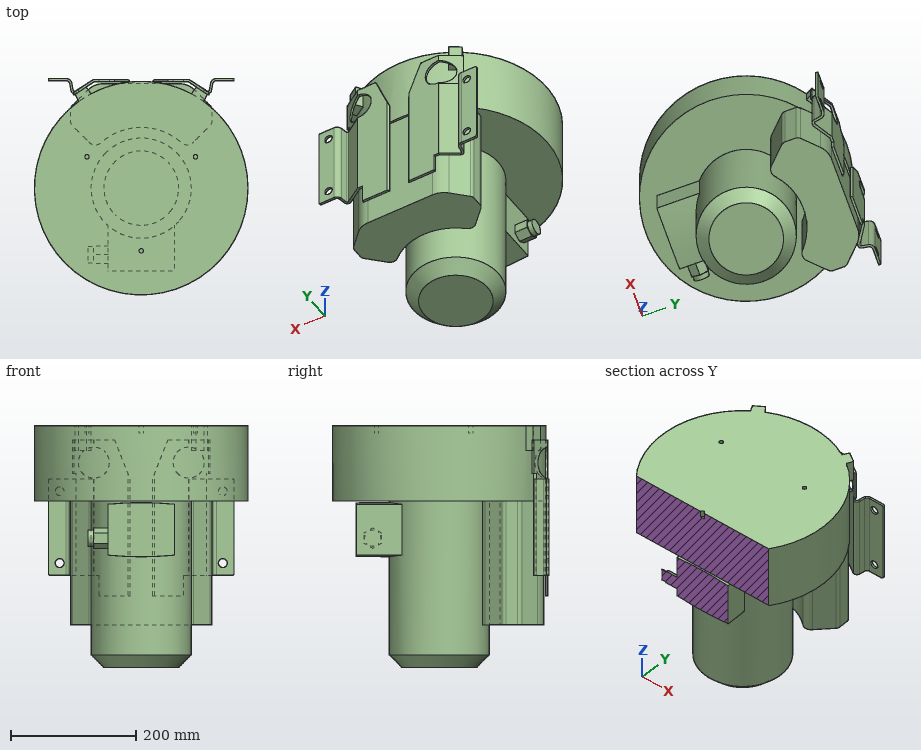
import cadquery as cq
import math


TOTAL_HEIGHT = 386.0
OVERALL_DEPTH = 345.5
DRUM_DIAMETER = 341.0
DRUM_RADIUS = DRUM_DIAMETER / 2
DRUM_HEIGHT = 120.5
DRUM_BOTTOM = TOTAL_HEIGHT - DRUM_HEIGHT
MOTOR_RADIUS = 80.0
MOTOR_CHAMFER = 20.5

TOP_HOLE_DIAMETER = 7.0
TOP_HOLE_CIRCLE_RADIUS = 100.0
TOP_HOLE_DEPTH = 11.5
TOP_HOLE_COUNT = 3
TOP_HOLE_START_ANGLE = 30

BOX_WIDTH = 106.5
BOX_FRONT_Y = -132.5
BOX_BACK_Y = -58.5
BOX_CENTER_Z = 220.0
BOX_SIDE_HEIGHT = 81.0
BOX_BULGE = 2.7
GLAND_Y = -106.0
GLAND_Z = 206.5
GLAND_FLATS = 28.0
GLAND_HEX_LENGTH = 23.0
GLAND_END_DIAMETER = 26.0
GLAND_END_LENGTH = 8.5

SILENCER_BOTTOM = 68.5
SILENCER_HALF_WIDTH = 112.7
SILENCER_BACK_Y = 166.8
SILENCER_SIDE_LOW_Y = 102.5
SILENCER_SIDE_HIGH_Y = 129.0
SILENCER_BORE_RADIUS = 97.0
LOBE_OUTER_X = 83.5
LOBE_RADIUS = 13.5
SILENCER_SIDE_FILLET = 9.5
SILENCER_BACK_FILLET = 34.7

SHEET = 4.0
PLATE_BACK_Y = 173.5
PLATE_Y = PLATE_BACK_Y - SHEET / 2
PLATE_INNER_X = 17.8
PLATE_INNER_CHAMFER = 3.0
PLATE_FOOT_X = 67.5
PLATE_BEND = (75.5, PLATE_Y)
PLATE_BOTTOM = 114.5
PLATE_TOP = 363.0
PLATE_CORNER_WIDTH = 24.7
PLATE_CORNER_HEIGHT = 61.8
WING_END = (108.5, 149.8)
TAB_BOTTOM = 310.0
RELIEF_X = 104.0
FLANGE_OUTER_X = 148.2
FLANGE_Y = OVERALL_DEPTH - DRUM_RADIUS - SHEET / 2
FLANGE_BEND_X = 113.5
LEG_END = (109.2, 150.0)
FLANGE_BOTTOM = 147.0
FLANGE_TOP = 301.0
FLANGE_MIDDLE_Z = (FLANGE_BOTTOM + FLANGE_TOP) / 2
FLANGE_BEND_RADIUS = 9.5
FOLD_RADIUS = 5.8
FLANGE_CORNER_RADIUS = 3.0
FLANGE_HOLE_DIAMETER = 14.0
FLANGE_HOLE_X = 130.0
FLANGE_HOLE_EDGE = 19.5
PORT_DIAMETER = 49.5
PORT_Z = 327.0

EAR_BOTTOM = 346.5
EAR_INNER_X = 87.5
EAR_OUTER_X = 105.5
EAR_INNER_ROOT = (80.0, 150.0)
EAR_OUTER_ROOT = (99.5, 137.8)


def mirrored(body):
    """The body together with its copy across the YZ plane."""
    return body.union(body.mirror("YZ"))


def prism(points, bottom, top):
    """Vertical prism over a polygon in X and Y."""
    return cq.Workplane("XY").workplane(offset=bottom).polyline(points).close().extrude(top - bottom)


def through_y(points):
    """Prism over a polygon in X and Z, long enough in Y to span a bracket."""
    return cq.Workplane("XZ").polyline(points).close().extrude(-2 * DRUM_RADIUS)


def bar_along_y(x, z, diameter):
    """Round cutter along Y that passes through a bracket."""
    return cq.Workplane("XZ").center(x, z).circle(diameter / 2).extrude(-2 * DRUM_RADIUS)


def strip_side(path, shift):
    """Mitred offset of an open path, to its left for a positive shift."""
    headings = [math.atan2(b[1] - a[1], b[0] - a[0]) for a, b in zip(path, path[1:])]
    before = headings[:1] + headings
    after = headings + headings[-1:]
    side = []
    for (x, y), first, second in zip(path, before, after):
        reach = shift / math.cos((second - first) / 2)
        normal = (first + second) / 2 + math.pi / 2
        side.append((x + reach * math.cos(normal), y + reach * math.sin(normal)))
    return side


def drum():
    body = cq.Workplane("XY").workplane(offset=DRUM_BOTTOM).circle(DRUM_RADIUS).extrude(DRUM_HEIGHT)
    return (
        body.faces(">Z").workplane(origin=(0, 0, TOTAL_HEIGHT))
        .polarArray(TOP_HOLE_CIRCLE_RADIUS, TOP_HOLE_START_ANGLE, 360, TOP_HOLE_COUNT)
        .hole(TOP_HOLE_DIAMETER, TOP_HOLE_DEPTH)
    )


def motor():
    body = cq.Workplane("XY").circle(MOTOR_RADIUS).extrude(DRUM_BOTTOM)
    return body.faces("<Z").chamfer(MOTOR_CHAMFER)


def terminal_box():
    """Box with slightly crowned top and bottom, set into the motor."""
    half_width = BOX_WIDTH / 2
    top = BOX_CENTER_Z + BOX_SIDE_HEIGHT / 2
    bottom = BOX_CENTER_Z - BOX_SIDE_HEIGHT / 2
    return (
        cq.Workplane("XZ", origin=(0, BOX_BACK_Y, 0))
        .moveTo(-half_width, bottom)
        .threePointArc((0, bottom - BOX_BULGE), (half_width, bottom))
        .lineTo(half_width, top)
        .threePointArc((0, top + BOX_BULGE), (-half_width, top))
        .close()
        .extrude(BOX_BACK_Y - BOX_FRONT_Y)
    )


def cable_gland():
    hexagon_diameter = GLAND_FLATS / math.cos(math.pi / 6)
    start = cq.Workplane("YZ", origin=(-BOX_WIDTH / 2, GLAND_Y, GLAND_Z))
    nut = start.transformed(rotate=(0, 0, 90)).polygon(6, hexagon_diameter).extrude(-GLAND_HEX_LENGTH)
    end = start.circle(GLAND_END_DIAMETER / 2).extrude(-GLAND_HEX_LENGTH - GLAND_END_LENGTH)
    return nut.union(end)


def silencer():
    """Body with 45 degree corners, two rounded front lobes and a hollow around the motor."""
    lobe_y = SILENCER_SIDE_LOW_Y - (SILENCER_HALF_WIDTH - LOBE_OUTER_X)
    lobe_inner_x = math.sqrt(SILENCER_BORE_RADIUS ** 2 - lobe_y ** 2)
    lobe_middle_x = (LOBE_OUTER_X + lobe_inner_x) / 2
    half_chord = (LOBE_OUTER_X - lobe_inner_x) / 2
    lobe_tip_y = lobe_y - LOBE_RADIUS + math.sqrt(LOBE_RADIUS ** 2 - half_chord ** 2)
    back_corner_x = SILENCER_HALF_WIDTH - (SILENCER_BACK_Y - SILENCER_SIDE_HIGH_Y)
    body = (
        cq.Workplane("XY").workplane(offset=SILENCER_BOTTOM)
        .moveTo(-lobe_inner_x, lobe_y)
        .threePointArc((0, SILENCER_BORE_RADIUS), (lobe_inner_x, lobe_y))
        .threePointArc((lobe_middle_x, lobe_tip_y), (LOBE_OUTER_X, lobe_y))
        .lineTo(SILENCER_HALF_WIDTH, SILENCER_SIDE_LOW_Y)
        .lineTo(SILENCER_HALF_WIDTH, SILENCER_SIDE_HIGH_Y)
        .lineTo(back_corner_x, SILENCER_BACK_Y)
        .lineTo(-back_corner_x, SILENCER_BACK_Y)
        .lineTo(-SILENCER_HALF_WIDTH, SILENCER_SIDE_HIGH_Y)
        .lineTo(-SILENCER_HALF_WIDTH, SILENCER_SIDE_LOW_Y)
        .lineTo(-LOBE_OUTER_X, lobe_y)
        .threePointArc((-lobe_middle_x, lobe_tip_y), (-lobe_inner_x, lobe_y))
        .close()
        .extrude(DRUM_BOTTOM - SILENCER_BOTTOM)
    )
    body = body.edges("|Z and >Y").fillet(SILENCER_BACK_FILLET)
    for side in ("<X", ">X"):
        body = body.faces(side).edges("|Z").fillet(SILENCER_SIDE_FILLET)
    return body


def bent_sheet(path, bottom, top):
    """Upright sheet whose middle line is an open path in X and Y."""
    outline = strip_side(path, SHEET / 2) + strip_side(path, -SHEET / 2)[::-1]
    return prism(outline, bottom, top)


def round_bend(sheet, path, index, outer_radius):
    """Round both faces of a bent sheet at one corner of its path."""
    corners = [strip_side(path, shift)[index] for shift in (SHEET / 2, -SHEET / 2)]
    previous_point, next_point = path[index - 1], path[index + 1]
    corners.sort(key=lambda corner: math.dist(corner, previous_point) + math.dist(corner, next_point))
    for (x, y), radius in zip(corners, (outer_radius - SHEET, outer_radius)):
        sheet = sheet.edges(cq.selectors.NearestToPointSelector((x, y, FLANGE_MIDDLE_Z))).fillet(radius)
    return sheet


def bracket_plate():
    """Flat plate with an angled wing, trimmed to its outline and pierced by the port."""
    path = [(PLATE_INNER_X, PLATE_Y), PLATE_BEND, WING_END]
    trim = through_y([
        (0, PLATE_BOTTOM),
        (PLATE_FOOT_X, PLATE_BOTTOM),
        (PLATE_FOOT_X, FLANGE_BOTTOM),
        (RELIEF_X, FLANGE_BOTTOM),
        (RELIEF_X, TAB_BOTTOM),
        (FLANGE_OUTER_X, TAB_BOTTOM),
        (FLANGE_OUTER_X, PLATE_TOP),
        (PLATE_INNER_X + PLATE_CORNER_WIDTH, PLATE_TOP),
        (PLATE_INNER_X, PLATE_TOP - PLATE_CORNER_HEIGHT),
        (0, PLATE_TOP - PLATE_CORNER_HEIGHT),
    ])
    port = bar_along_y(PLATE_BEND[0], PORT_Z, PORT_DIAMETER)
    sheet = bent_sheet(path, PLATE_BOTTOM, PLATE_TOP)
    sheet = sheet.faces("<X").edges(">Y").chamfer(PLATE_INNER_CHAMFER)
    return sheet.intersect(trim).cut(port)


def bracket_flange():
    """Mounting flange with two holes, folded back to meet the wing of the plate."""
    path = [(FLANGE_OUTER_X, FLANGE_Y), (FLANGE_BEND_X, FLANGE_Y), LEG_END, PLATE_BEND]
    flange = bent_sheet(path, FLANGE_BOTTOM, FLANGE_TOP)
    flange = round_bend(flange, path, 1, FLANGE_BEND_RADIUS)
    flange = round_bend(flange, path, 2, FOLD_RADIUS)
    flange = flange.faces(">X").edges("|Y").fillet(FLANGE_CORNER_RADIUS)
    for z in (FLANGE_BOTTOM + FLANGE_HOLE_EDGE, FLANGE_TOP - FLANGE_HOLE_EDGE):
        flange = flange.cut(bar_along_y(FLANGE_HOLE_X, z, FLANGE_HOLE_DIAMETER))
    return flange


def drum_ear():
    """Ear on the drum rim whose outer side lies against the wing of the plate."""
    run, rise = PLATE_BEND[0] - WING_END[0], PLATE_BEND[1] - WING_END[1]
    slope = rise / run
    inner_face_drop = SHEET / 2 * math.hypot(run, rise) / abs(run)

    def on_wing(x):
        return (x, WING_END[1] + slope * (x - WING_END[0]) - inner_face_drop)

    outline = [EAR_INNER_ROOT, on_wing(EAR_INNER_X), on_wing(EAR_OUTER_X), EAR_OUTER_ROOT]
    return prism(outline, EAR_BOTTOM, TOTAL_HEIGHT)


result = drum()
for part in (motor(), terminal_box(), cable_gland(), silencer()):
    result = result.union(part)
result = result.union(mirrored(drum_ear()))
for bracket_part in (bracket_plate(), bracket_flange()):
    result = result.union(mirrored(bracket_part))